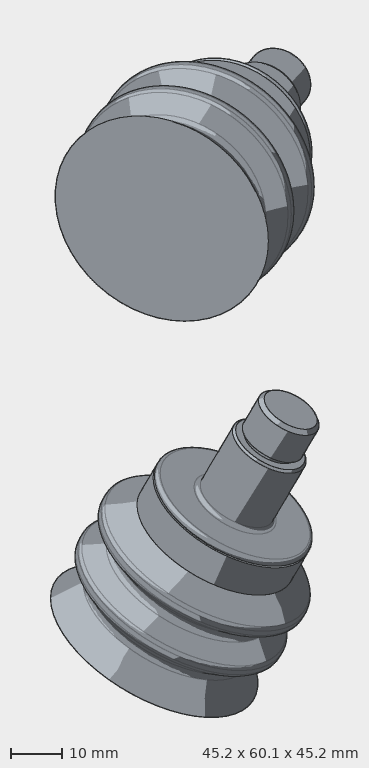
import cadquery as cq


TOTAL_LENGTH = 60.1
OUTER_RADIUS = 45.2 / 2

LIP_RADIUS = 22.5
LOWER_ROOT_Y = 7.1
LOWER_ROOT_RADIUS = 17.65
LOWER_CREST_START_Y = 10.75
LOWER_CREST_END_Y = 12.85
UPPER_ROOT_Y = 16.75
UPPER_ROOT_RADIUS = 16.35
UPPER_CREST_START_Y = 20.9
UPPER_CREST_END_Y = 23.1
CREST_ROUND = 0.95
ROOT_ROUND = 1.3

BODY_START_Y = 27.0
BODY_END_Y = 35.65
BODY_RADIUS = 34.0 / 2
RIM_ROUND = 0.8
RIM_START_Y = BODY_END_Y - 2 * RIM_ROUND

STEM_RADIUS = 16.0 / 2
STEM_END_Y = 51.15
STEM_CHAMFER = 0.5
STEM_BASE_ROUND = 0.9
NECK_RADIUS = 11.4 / 2
TIP_START_Y = 52.15
TIP_RADIUS = 13.15 / 2
TIP_CHAMFER = 0.85


def edges_at(solid, y_positions):
    """Circular edges lying in the given planes across the axis."""
    tolerance = 0.0005
    return solid.edges("%CIRCLE").filter(
        lambda edge: any(abs(edge.Center().y - y) < tolerance for y in y_positions)
    )


def make_bellows():
    profile = [
        (0, 0),
        (LIP_RADIUS, 0),
        (LOWER_ROOT_RADIUS, LOWER_ROOT_Y),
        (OUTER_RADIUS, LOWER_CREST_START_Y),
        (OUTER_RADIUS, LOWER_CREST_END_Y),
        (UPPER_ROOT_RADIUS, UPPER_ROOT_Y),
        (OUTER_RADIUS, UPPER_CREST_START_Y),
        (OUTER_RADIUS, UPPER_CREST_END_Y),
        (BODY_RADIUS, BODY_START_Y),
        (0, BODY_START_Y),
    ]
    bellows = cq.Workplane("XY").polyline(profile).close().revolve(360, (0, 0), (0, 1))
    crests = [
        LOWER_CREST_START_Y,
        LOWER_CREST_END_Y,
        UPPER_CREST_START_Y,
        UPPER_CREST_END_Y,
    ]
    bellows = edges_at(bellows, crests).fillet(CREST_ROUND)
    return edges_at(bellows, [LOWER_ROOT_Y, UPPER_ROOT_Y]).fillet(ROOT_ROUND)


def cylinder(radius, start_y, end_y):
    """Cylinder on the Y axis between two positions."""
    plane = cq.Workplane("XZ", origin=(0, start_y, 0))
    return plane.circle(radius).extrude(start_y - end_y)


def make_body():
    body = cylinder(BODY_RADIUS, BODY_START_Y, RIM_START_Y)
    bead_radius = BODY_RADIUS - RIM_ROUND
    rim = (
        cq.Workplane("XY")
        .moveTo(0, RIM_START_Y)
        .lineTo(bead_radius, RIM_START_Y)
        .threePointArc((BODY_RADIUS, RIM_START_Y + RIM_ROUND), (bead_radius, BODY_END_Y))
        .lineTo(0, BODY_END_Y)
        .close()
        .revolve(360, (0, 0), (0, 1))
    )
    return body.union(rim)


def make_stem():
    stem = cylinder(STEM_RADIUS, BODY_END_Y, STEM_END_Y)
    stem = edges_at(stem, [STEM_END_Y]).chamfer(STEM_CHAMFER)
    neck = cylinder(NECK_RADIUS, STEM_END_Y, TIP_START_Y)
    tip = cylinder(TIP_RADIUS, TIP_START_Y, TOTAL_LENGTH)
    tip = edges_at(tip, [TOTAL_LENGTH]).chamfer(TIP_CHAMFER)
    return stem.union(neck).union(tip)


result = make_bellows().union(make_body()).union(make_stem())
stem_base = edges_at(result, [BODY_END_Y]).filter(lambda edge: edge.radius() < STEM_RADIUS + 0.6)
result = stem_base.fillet(STEM_BASE_ROUND)